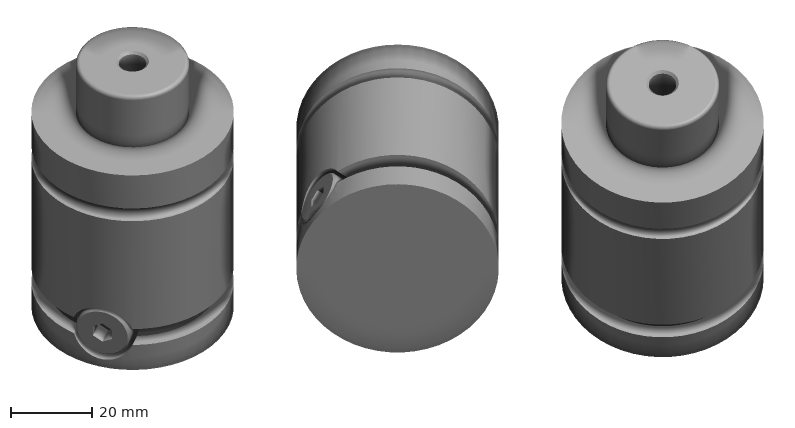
import cadquery as cq
import math

clearance = 0.8

total_height = 78.0
body_diameter = 50.0
body_radius = body_diameter / 2

stem_diameter = 28.0
stem_height = 16.0
stem_edge_size = 1.0
body_height = total_height - stem_height

hole_diameter = 6.8
hole_mouth_diameter = 8.0
hole_depth = 15.6
drill_tip_angle = 118.0
countersink_angle = 90.0

round_groove_radius = 2.0
round_groove_z = 49.45

square_groove_bottom = 7.95
square_groove_width = 5.1
square_groove_floor_radius = 21.5

plug_z = square_groove_bottom + square_groove_width / 2
pocket_diameter = 16.0
pocket_floor_distance = 19.5
plug_diameter = 14.0
plug_face_distance = 24.4
plug_edge_size = 0.5
hex_across_flats = 5.0
hex_depth = 4.7


def cylinder_toward_front(diameter, start_distance, end_distance):
    """Cylinder on the plug axis between two distances from the body axis."""
    plane = cq.Workplane("XZ", origin=(0, -start_distance, plug_z))
    return plane.circle(diameter / 2).extrude(end_distance - start_distance)


def make_body():
    body = cq.Workplane("XY").circle(body_radius).extrude(body_height)
    stem = (
        cq.Workplane("XY")
        .workplane(offset=body_height)
        .circle(stem_diameter / 2)
        .extrude(stem_height)
        .faces(">Z")
        .edges()
        .fillet(stem_edge_size)
    )
    return body.union(stem)


def make_round_groove():
    """Ring of circular section centred on the body surface."""
    return (
        cq.Workplane("XZ")
        .center(body_radius, round_groove_z)
        .circle(round_groove_radius)
        .revolve(360, (-body_radius, 0), (-body_radius, 1))
    )


def make_square_groove():
    return (
        cq.Workplane("XY")
        .workplane(offset=square_groove_bottom)
        .circle(body_radius + clearance)
        .circle(square_groove_floor_radius)
        .extrude(square_groove_width)
    )


def make_plug():
    plug = cylinder_toward_front(plug_diameter, pocket_floor_distance, plug_face_distance)
    plug = plug.faces("<Y").edges().chamfer(plug_edge_size)
    socket = (
        cq.Workplane("XZ", origin=(0, -plug_face_distance, plug_z))
        .polygon(6, hex_across_flats, circumscribed=True)
        .extrude(-hex_depth)
    )
    return plug.cut(socket)


def make_stem_hole():
    """Countersunk blind hole with a conical drill tip, drawn as a half section."""
    hole_radius = hole_diameter / 2
    mouth_radius = hole_mouth_diameter / 2
    hole_bottom = total_height - hole_depth
    tip_height = hole_radius / math.tan(math.radians(drill_tip_angle / 2))
    countersink_depth = (mouth_radius - hole_radius) / math.tan(math.radians(countersink_angle / 2))
    return (
        cq.Workplane("XZ")
        .moveTo(0, total_height)
        .lineTo(mouth_radius, total_height)
        .lineTo(hole_radius, total_height - countersink_depth)
        .lineTo(hole_radius, hole_bottom)
        .lineTo(0, hole_bottom - tip_height)
        .close()
        .revolve(360, (0, 0), (0, 1))
    )


pocket = cylinder_toward_front(pocket_diameter, pocket_floor_distance, body_radius + clearance)
housing = make_body()
for cutter in (make_round_groove(), make_square_groove(), make_stem_hole(), pocket):
    housing = housing.cut(cutter)

result = housing.union(make_plug())